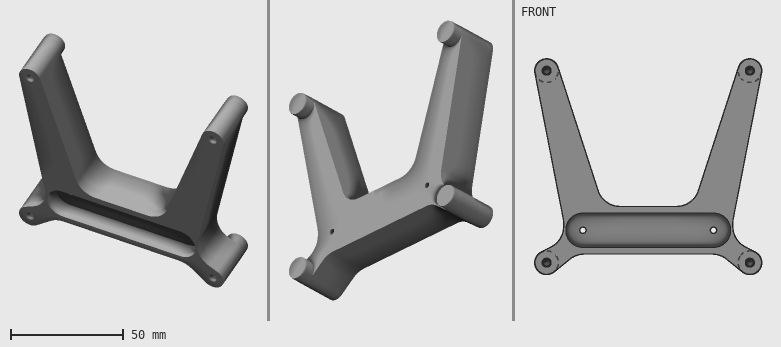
import cadquery as cq
import math

PLATE_THICKNESS = 20.0
MOUNT_SPACING_X = 90.0
MOUNT_SPACING_Z = 85.0
MOUNT_RADIUS = 5.325
BLEND_RADIUS = 10.0

BAR_CENTER_Z = 14.35
BAR_HEIGHT = 21.2
WAIST_HALF_WIDTH = 37.5

ARM_INNER_LEAN = 18.0
ARM_OUTER_LEAN = 11.0
LEG_UPPER_SLOPE = 27.0
LEG_LOWER_SLOPE = 39.0

ARM_TIP_ANGLE = 90.0
LEG_TIP_ANGLE = -45.0

BAR_WALL = 3.0
POCKET_WIDTH = BAR_HEIGHT - 2 * BAR_WALL
POCKET_HOLE_SPACING = 57.8
POCKET_DEPTH = 8.0
POCKET_HOLE_DIAMETER = 2.7

STANDOFF_HEIGHT = 5.34
STANDOFF_DRAFT = 1.0
STANDOFF_CHAMFER_HEIGHT = 0.5
STANDOFF_CHAMFER_INSET = 0.15

MOUNT_HOLE_DIAMETER = 3.0
MOUNT_HOLE_MOUTH_DIAMETER = 4.0
MOUNT_HOLE_DEPTH = 12.0
DRILL_TIP_ANGLE = 118.0

mount_x = MOUNT_SPACING_X / 2
bar_top = BAR_CENTER_Z + BAR_HEIGHT / 2
bar_bottom = BAR_CENTER_Z - BAR_HEIGHT / 2
mount_points = [(x, z) for x in (-mount_x, mount_x) for z in (0, MOUNT_SPACING_Z)]


def rim_point(z_center, angle):
    """Point on the right-hand mount circle at the given angle from +X, in degrees."""
    a = math.radians(angle)
    return (mount_x + MOUNT_RADIUS * math.cos(a), z_center + MOUNT_RADIUS * math.sin(a))


def x_on_edge(start, direction, z):
    """X where the straight edge from start, running at direction degrees, reaches height z."""
    return start[0] + (z - start[1]) / math.tan(math.radians(direction))


def z_on_edge(start, direction, x):
    """Z where the straight edge from start, running at direction degrees, reaches x."""
    return start[1] + (x - start[0]) * math.tan(math.radians(direction))


def extrude_back(sketch, depth):
    """Extrude an XZ sketch toward +Y."""
    return sketch.extrude(-depth)


def revolve_about_y(profile):
    """Full turn of an XY profile round the Y axis."""
    return profile.revolve(360, (0, 0, 0), (0, 1, 0))


def make_half_plate():
    """Right half of the plate, its straight edges tangent to the mount circles."""
    arm_inner = rim_point(MOUNT_SPACING_Z, 180 - ARM_INNER_LEAN)
    arm_outer = rim_point(MOUNT_SPACING_Z, -ARM_OUTER_LEAN)
    leg_upper = rim_point(0, 90 - LEG_UPPER_SLOPE)
    leg_lower = rim_point(0, -90 - LEG_LOWER_SLOPE)

    inner_corner = (x_on_edge(arm_inner, 90 - ARM_INNER_LEAN, bar_top), bar_top)
    waist_top = (WAIST_HALF_WIDTH, z_on_edge(arm_outer, 90 - ARM_OUTER_LEAN, WAIST_HALF_WIDTH))
    waist_bottom = (WAIST_HALF_WIDTH, z_on_edge(leg_upper, -LEG_UPPER_SLOPE, WAIST_HALF_WIDTH))
    lower_corner = (x_on_edge(leg_lower, -LEG_LOWER_SLOPE, bar_bottom), bar_bottom)

    outline = (
        cq.Workplane("XZ")
        .moveTo(0, bar_bottom)
        .lineTo(0, bar_top)
        .lineTo(*inner_corner)
        .lineTo(*arm_inner)
        .threePointArc(rim_point(MOUNT_SPACING_Z, ARM_TIP_ANGLE), arm_outer)
        .lineTo(*waist_top)
        .lineTo(*waist_bottom)
        .lineTo(*leg_upper)
        .threePointArc(rim_point(0, LEG_TIP_ANGLE), leg_lower)
        .lineTo(*lower_corner)
        .close()
    )
    plate = extrude_back(outline, PLATE_THICKNESS)
    mid_y = PLATE_THICKNESS / 2
    for x, z in (inner_corner, waist_top, waist_bottom, lower_corner):
        corner_edge = cq.selectors.NearestToPointSelector((x, mid_y, z))
        plate = plate.edges("|Y").edges(corner_edge).fillet(BLEND_RADIUS)
    return plate


def make_plate():
    half = make_half_plate()
    return half.union(half.mirror("YZ")).clean()


def make_standoff(x, z):
    """Slightly drafted post with a narrow chamfer round its free end."""
    shoulder_height = STANDOFF_HEIGHT - STANDOFF_CHAMFER_HEIGHT
    shoulder_radius = MOUNT_RADIUS - shoulder_height * math.tan(math.radians(STANDOFF_DRAFT))
    profile = (
        cq.Workplane("XY")
        .polyline([
            (0, 0),
            (MOUNT_RADIUS, 0),
            (shoulder_radius, shoulder_height),
            (shoulder_radius - STANDOFF_CHAMFER_INSET, STANDOFF_HEIGHT),
            (0, STANDOFF_HEIGHT),
        ])
        .close()
    )
    return revolve_about_y(profile).translate((x, PLATE_THICKNESS, z))


def make_pocket():
    length = POCKET_HOLE_SPACING + POCKET_WIDTH
    front_face = cq.Workplane("XZ").center(0, BAR_CENTER_Z)
    slot = extrude_back(front_face.slot2D(length, POCKET_WIDTH), POCKET_DEPTH)
    hole_points = [(-POCKET_HOLE_SPACING / 2, 0), (POCKET_HOLE_SPACING / 2, 0)]
    holes = front_face.pushPoints(hole_points).circle(POCKET_HOLE_DIAMETER / 2)
    return slot.union(extrude_back(holes, PLATE_THICKNESS))


def make_mount_hole(x, z):
    """Drilled hole with a 45 degree countersunk mouth and a conical bottom."""
    radius = MOUNT_HOLE_DIAMETER / 2
    mouth_radius = MOUNT_HOLE_MOUTH_DIAMETER / 2
    tip = radius / math.tan(math.radians(DRILL_TIP_ANGLE / 2))
    profile = (
        cq.Workplane("XY")
        .polyline([
            (0, 0),
            (mouth_radius, 0),
            (radius, mouth_radius - radius),
            (radius, MOUNT_HOLE_DEPTH),
            (0, MOUNT_HOLE_DEPTH + tip),
        ])
        .close()
    )
    return revolve_about_y(profile).translate((x, 0, z))


result = make_plate().cut(make_pocket())
for mount_point in mount_points:
    result = result.union(make_standoff(*mount_point))
    result = result.cut(make_mount_hole(*mount_point))